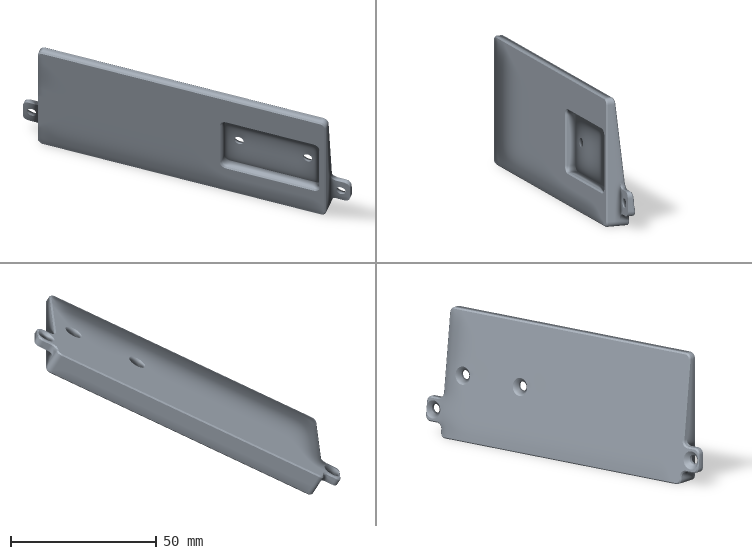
import cadquery as cq
import math

TOTAL_LENGTH = 119.3
BODY_LENGTH = 105.2
BODY_HEIGHT = 45.6
BODY_DEPTH = 8.7
SLOPE_ANGLE = 7.0
CORNER_RADIUS = 2.0
EDGE_CHAMFER = 0.5

EAR_BOTTOM = 4.9
EAR_TOP = 13.6
EAR_FRONT = 5.0
EAR_CORNER_RADIUS = 2.0
EAR_BLEND_RADIUS = 2.0
EAR_HOLE_INSET = 3.2

POCKET_LEFT = 14.0
POCKET_WIDTH = 36.5
POCKET_HEIGHT = 22.9
POCKET_DEPTH = 3.7
POCKET_CORNER_RADIUS = 2.4
SCREW_SPACING = 25.0

HOLE_DIAMETER = 3.3
SINK_DIAMETER = 6.3

pocket_x = POCKET_LEFT + POCKET_WIDTH / 2
pocket_z = BODY_HEIGHT / 2
slope = math.tan(math.radians(SLOPE_ANGLE))


def back_y(z):
    """Y of the sloping back face; its chamfered lower edge lies at full depth."""
    return BODY_DEPTH - slope * (z - EDGE_CHAMFER)


def front_plane(y=0.0):
    """Plane facing -Y, with local x along X and local y along Z."""
    return cq.Workplane("XZ", origin=(0, y, 0))


def wedge():
    """Slab behind the front plane, limited by the sloping back face."""
    return (
        cq.Workplane("YZ")
        .polyline([(0, 0), (back_y(0), 0), (back_y(BODY_HEIGHT), BODY_HEIGHT), (0, BODY_HEIGHT)])
        .close()
        .extrude(TOTAL_LENGTH / 2, both=True)
    )


def body():
    outline = (
        front_plane()
        .center(0, BODY_HEIGHT / 2)
        .rect(BODY_LENGTH, BODY_HEIGHT)
        .extrude(-2 * BODY_DEPTH)
        .edges("|Y")
        .fillet(CORNER_RADIUS)
    )
    return outline.faces("<Y").edges().chamfer(EDGE_CHAMFER)


def ear(side):
    """Rounded ear with concave blends into the body; side is -1 (left) or 1 (right)."""
    root = BODY_LENGTH / 2
    inner = root - 2 * EDGE_CHAMFER
    tip = TOTAL_LENGTH / 2
    blend = EAR_BLEND_RADIUS
    corner = EAR_CORNER_RADIUS
    return (
        front_plane(EAR_FRONT)
        .moveTo(side * inner, EAR_BOTTOM - blend)
        .lineTo(side * root, EAR_BOTTOM - blend)
        .radiusArc((side * (root + blend), EAR_BOTTOM), side * blend)
        .lineTo(side * (tip - corner), EAR_BOTTOM)
        .radiusArc((side * tip, EAR_BOTTOM + corner), -side * corner)
        .lineTo(side * tip, EAR_TOP - corner)
        .radiusArc((side * (tip - corner), EAR_TOP), -side * corner)
        .lineTo(side * (root + blend), EAR_TOP)
        .radiusArc((side * root, EAR_TOP + blend), side * blend)
        .lineTo(side * inner, EAR_TOP + blend)
        .close()
        .extrude(-BODY_DEPTH)
    )


def pocket():
    """Pocket volume inside the chamfered rim."""
    return (
        front_plane()
        .center(pocket_x, pocket_z)
        .rect(POCKET_WIDTH - 2 * EDGE_CHAMFER, POCKET_HEIGHT - 2 * EDGE_CHAMFER)
        .extrude(-POCKET_DEPTH)
        .edges("|Y")
        .fillet(POCKET_CORNER_RADIUS - EDGE_CHAMFER)
    )


def screw_hole(x, z):
    """Through hole along Y with a 90 degree countersink square to the back face."""
    shaft = front_plane().center(x, z).circle(HOLE_DIAMETER / 2).extrude(-2 * BODY_DEPTH)
    sink_radius = SINK_DIAMETER / 2
    sink = cq.Solid.makeCone(
        sink_radius, 0, sink_radius, cq.Vector(x, back_y(z), z), cq.Vector(0, -1, -slope)
    )
    return shaft.union(cq.Workplane(sink))


result = body()
for side in (-1, 1):
    result = result.union(ear(side))
result = result.intersect(wedge())
back_point = (0, back_y(pocket_z), pocket_z)
back_face = result.faces(cq.selectors.NearestToPointSelector(back_point))
result = back_face.edges().chamfer(EDGE_CHAMFER)

result = result.cut(pocket())
rim_edges = result.faces("<Y").wires(cq.selectors.NearestToPointSelector((pocket_x, 0, pocket_z))).edges()
result = rim_edges.chamfer(EDGE_CHAMFER)

ear_hole_x = TOTAL_LENGTH / 2 - EAR_HOLE_INSET
ear_hole_z = (EAR_BOTTOM + EAR_TOP) / 2
for side in (-1, 1):
    pocket_hole_x = pocket_x + side * SCREW_SPACING / 2
    result = result.cut(screw_hole(side * ear_hole_x, ear_hole_z))
    result = result.cut(screw_hole(pocket_hole_x, pocket_z))